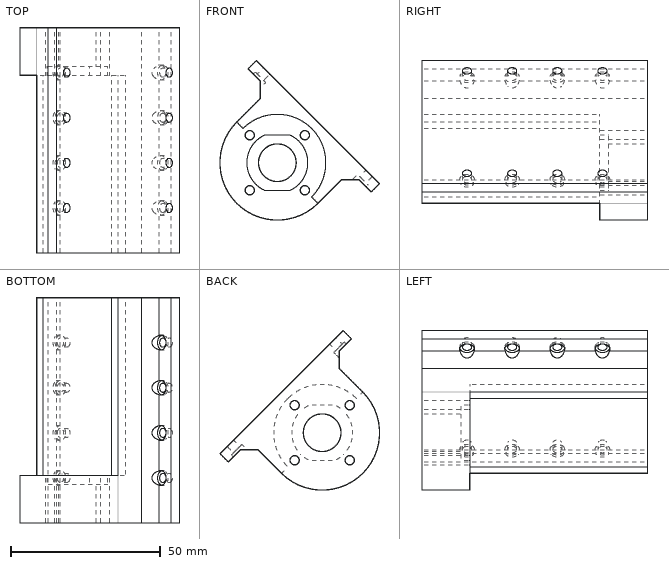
import cadquery as cq

length = 75.3
hub_radius = 19.2
hub_length = 16.0

tilt = 45.0
plate_half_width = 29.1
plate_thickness = 4.0
shoulder = 4.15
cavity_radius = 16.2
plate_underside = hub_radius - plate_thickness

bore_diameter = 12.5
pocket_diameter = 20.3
pocket_width = 18.6
pocket_depth = 3.0
hub_hole_diameter = 3.0
hub_hole_spacing = 18.4

screw_diameter = 3.0
screw_head_diameter = 5.0
screw_seat_depth = 1.0
screw_row_offset = 24.2
screw_pitch = 15.05
screw_count = 4


def cylinder_along_y(radius, start, depth):
    """Cylinder about the hub axis, starting at Y = start and running toward +Y."""
    return cq.Workplane("XZ", origin=(0, start, 0)).circle(radius).extrude(-depth)


def make_body():
    """Tilted body with a plate, sloping shoulders and side walls."""
    half_profile = [
        (plate_half_width, hub_radius),
        (plate_half_width, plate_underside),
        (hub_radius + shoulder, plate_underside),
        (hub_radius, plate_underside - shoulder),
        (hub_radius, 0),
    ]
    mirrored = [(-u, v) for u, v in reversed(half_profile)]
    return cq.Workplane("XZ").polyline(half_profile + mirrored).close().extrude(-length)


def make_screw_cutters():
    """Through holes with head counterbores sunk into the plate and shoulders from below."""
    places = [
        (side * screw_row_offset, (row + 1) * screw_pitch)
        for side in (-1, 1)
        for row in range(screw_count)
    ]
    shanks = cq.Workplane("XY").pushPoints(places).circle(screw_diameter / 2).extrude(hub_radius + 0.75)
    seat_height = plate_underside + screw_seat_depth
    heads = cq.Workplane("XY").pushPoints(places).circle(screw_head_diameter / 2).extrude(seat_height)
    return shanks.union(heads)


def make_pocket(start):
    """Round pocket with flats at the top and bottom."""
    flats = cq.Workplane("XY").box(pocket_diameter, pocket_depth, pocket_width)
    flats = flats.translate((0, start + pocket_depth / 2, 0))
    return cylinder_along_y(pocket_diameter / 2, start, pocket_depth).intersect(flats)


hub_start = length - hub_length

body = make_body().cut(make_screw_cutters())
body = body.rotate((0, 0, 0), (0, 1, 0), tilt)
body = body.cut(cylinder_along_y(cavity_radius, 0, hub_start))

hub_holes = (
    cq.Workplane("XZ", origin=(0, hub_start, 0))
    .rect(hub_hole_spacing, hub_hole_spacing, forConstruction=True)
    .vertices()
    .circle(hub_hole_diameter / 2)
    .extrude(-hub_length)
)

result = (
    body.union(cylinder_along_y(hub_radius, hub_start, hub_length))
    .cut(cylinder_along_y(bore_diameter / 2, hub_start, hub_length))
    .cut(make_pocket(hub_start))
    .cut(hub_holes)
)